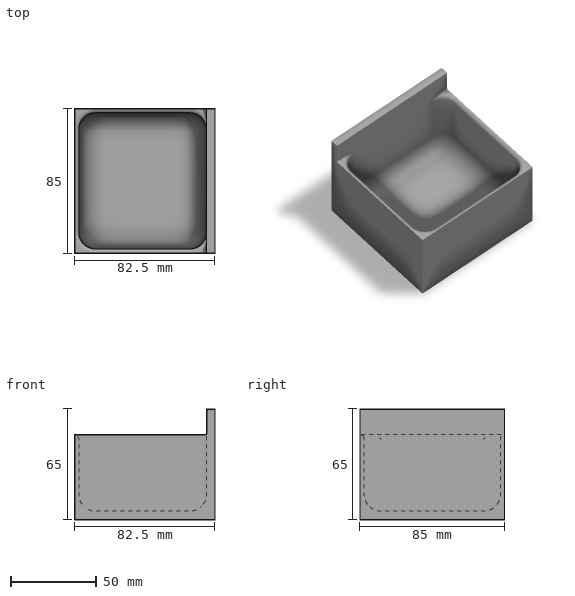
import cadquery as cq

length_x = 82.5
width_y = 85.0
height_z = 65.0

tray_height = 50.0
wall = 2.5
plate_thickness = 5.0
floor_thickness = 5.0
cavity_radius = 10.0
root_radius = 1.0
rim_land = 0.02
rim_radius = wall - rim_land

plate_face_x = length_x - plate_thickness
cavity_length = plate_face_x - wall
cavity_width = width_y - 2 * wall
cavity_center_x = wall + cavity_length / 2


def block(start_x, length, height):
    """Full-width block standing on the base plane."""
    base = cq.Workplane("XY", origin=(start_x, 0, 0))
    return base.box(length, width_y, height, centered=(False, True, False))


def cavity():
    """Rounded pocket with a full-radius fillet around its floor."""
    pocket = (
        cq.Workplane("XY", origin=(cavity_center_x, 0, floor_thickness))
        .rect(cavity_length, cavity_width)
        .extrude(tray_height - floor_thickness)
        .edges("|Z")
        .fillet(cavity_radius)
    )
    return pocket.faces("<Z").edges().fillet(cavity_radius)


def tray():
    """Block with the cavity and a rounded rim all the way around it."""
    hollow = block(0, length_x, tray_height).cut(cavity())
    rim = hollow.faces(">Z").wires(cq.selectors.LengthNthSelector(0)).edges()
    return rim.fillet(rim_radius)


def plate():
    """Upright plate rising above the tray along its +X side."""
    return block(plate_face_x, plate_thickness, height_z)


def fillet_plate_root(body):
    """Fillet the corner between plate and tray top; it fades out along the rounded rim."""
    tolerance = 0.01
    root_line = cq.selectors.BoxSelector(
        (plate_face_x - tolerance, -width_y, tray_height - tolerance),
        (plate_face_x + tolerance, width_y, tray_height + tolerance),
    )
    return body.edges(root_line).fillet(root_radius)


result = fillet_plate_root(tray().union(plate()))